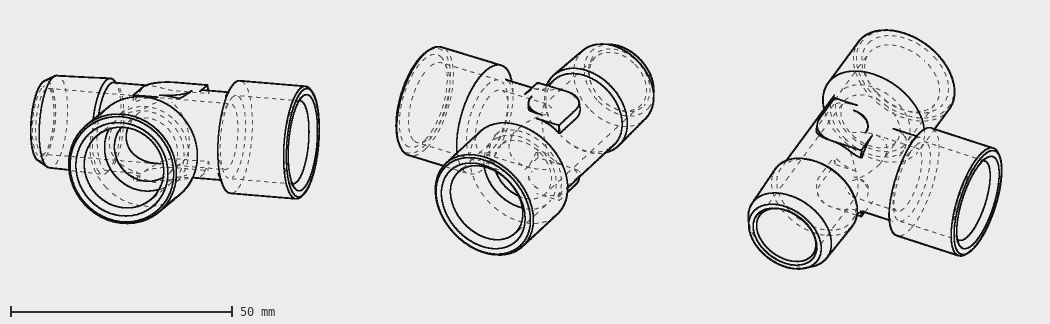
import cadquery as cq
import math

neck_radius = 9.95
bore_radius = 7.45
crotch_radius = 2.8

overall_length = 61.5
male_end = 29.5
run_socket_end = overall_length - male_end
socket_diameter = 25.5
socket_radius = socket_diameter / 2
overall_width = 46.75
branch_socket_end = overall_width - socket_radius
socket_length = 16.05
socket_rim_chamfer = 0.5
shoulder_angle = 60.0
shoulder_fillet = 1.0
thread_radius = 9.4
thread_depth = 16.6
mouth_radius = 10.9
mouth_depth = 1.55
drill_tip_angle = 59.0

male_tip_radius = 9.1
male_nose_length = 2.45
male_front_radius = 10.45
male_back_radius = 10.8
male_length = 14.0
collar_length = 1.05
collar_chamfer = 0.85
male_mouth_radius = 8.0
male_mouth_depth = 0.6

pad_radius = 5.7
pad_run_reach = 7.6
pad_branch_reach = 7.5
pad_depth = 4.9
pad_draft = 8.0


def revolve_along_x(points):
    """Revolve an (axial, radial) outline about the X axis."""
    return cq.Workplane("XY").polyline(points).close().revolve(360, (0, 0, 0), (1, 0, 0))


def turn_to_branch(solid):
    return solid.rotate((0, 0, 0), (0, 0, 1), -90)


def socket_body(end):
    """Neck, conical shoulder and socket, from the origin out to the given end."""
    socket_start = end - socket_length
    shoulder_length = (socket_radius - neck_radius) / math.tan(math.radians(shoulder_angle))
    shoulder_start = socket_start - shoulder_length
    tangent_length = shoulder_fillet * math.tan(math.radians(shoulder_angle / 2))
    sweep = math.radians(shoulder_angle)
    fillet_start = shoulder_start - tangent_length
    fillet_center_radius = neck_radius + shoulder_fillet

    def fillet_point(angle):
        return (
            fillet_start + shoulder_fillet * math.sin(angle),
            fillet_center_radius - shoulder_fillet * math.cos(angle),
        )

    return (
        cq.Workplane("XY")
        .lineTo(0, neck_radius)
        .lineTo(fillet_start, neck_radius)
        .threePointArc(fillet_point(sweep / 2), fillet_point(sweep))
        .lineTo(socket_start, socket_radius)
        .lineTo(end - socket_rim_chamfer, socket_radius)
        .lineTo(end, socket_radius - socket_rim_chamfer)
        .lineTo(end, 0)
        .close()
        .revolve(360, (0, 0, 0), (1, 0, 0))
    )


def socket_bore(end):
    """Through bore, drill-tip cone, thread bore and countersunk mouth."""
    thread_bottom = end - thread_depth
    cone_length = (thread_radius - bore_radius) / math.tan(math.radians(drill_tip_angle))
    return revolve_along_x([
        (0, 0),
        (0, bore_radius),
        (thread_bottom - cone_length, bore_radius),
        (thread_bottom, thread_radius),
        (end - mouth_depth, thread_radius),
        (end, mouth_radius),
        (end, 0),
    ])


def male_body():
    collar_start = -male_end + male_length
    collar_end = collar_start + collar_length
    return revolve_along_x([
        (0, 0),
        (0, neck_radius),
        (collar_end + collar_chamfer, neck_radius),
        (collar_end, male_back_radius),
        (collar_start, male_back_radius),
        (-male_end + male_nose_length, male_front_radius),
        (-male_end, male_tip_radius),
        (-male_end, 0),
    ])


def male_bore():
    return revolve_along_x([
        (0, 0),
        (0, bore_radius),
        (-male_end + male_mouth_depth, bore_radius),
        (-male_end, male_mouth_radius),
        (-male_end, 0),
    ])


def pad():
    """Pad with two round and two square corners, flush with the neck crowns."""
    diagonal = pad_radius * math.sqrt(0.5)
    return (
        cq.Workplane("XY", origin=(0, 0, neck_radius))
        .moveTo(0, pad_radius)
        .lineTo(pad_run_reach, pad_radius)
        .lineTo(pad_run_reach, 0)
        .lineTo(pad_radius, 0)
        .threePointArc((diagonal, -diagonal), (0, -pad_radius))
        .lineTo(0, -pad_branch_reach)
        .lineTo(-pad_radius, -pad_branch_reach)
        .lineTo(-pad_radius, 0)
        .threePointArc((-diagonal, diagonal), (0, pad_radius))
        .close()
        .extrude(-pad_depth, taper=-pad_draft)
    )


run = male_body().union(socket_body(run_socket_end))
branch = turn_to_branch(socket_body(branch_socket_end))
body = run.union(branch)
crotch_inner_limit = neck_radius / 3
crotch_zone = cq.selectors.BoxSelector(
    (-neck_radius, -neck_radius, -neck_radius),
    (neck_radius, -crotch_inner_limit, neck_radius),
)
body = body.edges(crotch_zone).fillet(crotch_radius)

top_pad = pad()
body = body.union(top_pad).union(top_pad.mirror("XY"))

bores = male_bore().union(socket_bore(run_socket_end))
bores = bores.union(turn_to_branch(socket_bore(branch_socket_end)))
result = body.cut(bores)